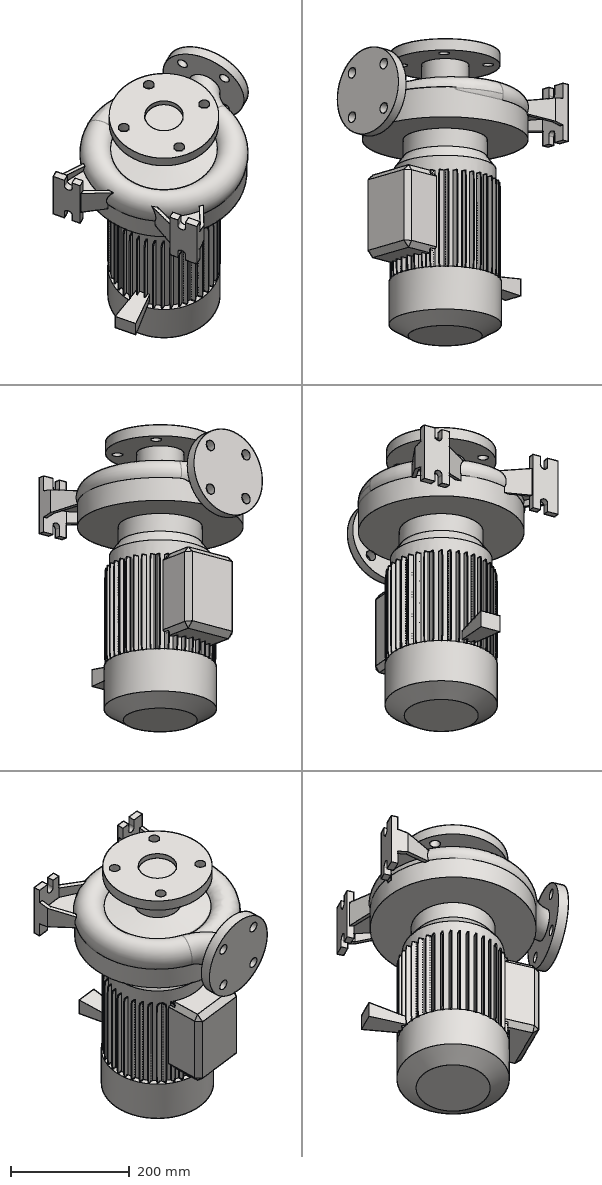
import cadquery as cq
import math


overall_height = 495.0

suction_face_z = 100.0
suction_flange_diameter = 185.0
suction_flange_thickness = 20.0
suction_bolt_circle = 145.0
suction_neck_diameter = 80.0
suction_bore_diameter = 65.0
suction_bore_depth = 10.0

discharge_face_y = 180.0
discharge_flange_diameter = 150.0
discharge_flange_thickness = 18.0
discharge_bolt_circle = 110.0

flange_hole_diameter = 18.0
flange_hole_count = 4

tube_radius = 27.5
volute_radius = 114.5
tail_start_angle = 180.0
tail_end_angle = 55.0
tail_end_tube_radius = 20.7
tail_end_radius = 108.9
tail_taper_power = 1.5
tail_section_count = 5

cover_cone_top_z = 20.0
cover_cone_edge_radius = 90.0
cover_cone_edge_z = 12.5
casing_radius = 140.0
casing_top_z = 2.0
casing_bottom_z = -51.0
adapter_radius = 71.0
adapter_bottom_z = -82.5
motor_radius = 86.0
motor_cone_bottom_z = -103.0
fin_top_z = -129.0
fan_cover_top_z = -300.0
fan_cover_radius = 95.0
fan_cover_bottom_z = -375.5
motor_bottom_z = suction_face_z - overall_height
motor_bottom_radius = 62.5

fin_projection = 9.5
fin_root_depth = 6.0
fin_thickness = 2.0
fin_pitch_angle = 9.0
fin_pairs_per_side = 5
fin_spacing_radius = 92.0
fin_end_inset = 1.5
fin_end_length = 15.0

box_face_y = 138.0
box_half_width = 51.5
box_top_z = fin_top_z
box_bottom_z = -274.0
box_bevel_x = 7.5
box_bevel_y = 11.0
box_bevel_z = 10.5

support_end_y = -158.0
support_mid_z = -283.0
support_end_width = 38.0
support_end_height = 30.0
support_side_slope = 0.095
support_root_y = -80.0

foot_bottom_y = -160.0
foot_thickness = 12.0
foot_outer_x = 133.0
foot_width = 50.0
foot_half_height = 50.0
foot_slot_x = 105.0
foot_slot_width = 14.0
foot_slot_depth = 22.0
rib_thickness = 7.0
rib_bend_y = -130.0
outer_rib_angle = 64.0
inner_rib_angle = 30.0
outer_rib_end_y = -80.0
inner_rib_end_y = -112.0
rib_half_height = 25.0
rib_full_height_y = -155.0
rib_side_slope = 0.187
web_thickness = 6.0


def bolt_holes(bolt_circle, depth):
    """Flange holes on the diagonals, drilled from the XY plane down to -depth."""
    return (
        cq.Workplane("XY")
        .polarArray(bolt_circle / 2, 45, 360, flange_hole_count)
        .circle(flange_hole_diameter / 2)
        .extrude(-depth)
    )


def pump_and_motor_body():
    """Everything turned about the pump axis below the suction flange."""
    profile = [
        (0, cover_cone_top_z),
        (suction_neck_diameter / 2, cover_cone_top_z),
        (cover_cone_edge_radius, cover_cone_edge_z),
        (volute_radius, casing_top_z),
        (casing_radius, casing_top_z),
        (casing_radius, casing_bottom_z),
        (adapter_radius, casing_bottom_z),
        (adapter_radius, adapter_bottom_z),
        (motor_radius, motor_cone_bottom_z),
        (motor_radius, fan_cover_top_z),
        (fan_cover_radius, fan_cover_top_z),
        (fan_cover_radius, fan_cover_bottom_z),
        (motor_bottom_radius, motor_bottom_z),
        (0, motor_bottom_z),
    ]
    return cq.Workplane("XZ").polyline(profile).close().revolve(360, (0, 0), (0, 1))


def suction_flange():
    """Flange on top of its neck, with a shallow blind bore."""
    flange = cq.Workplane("XY").circle(suction_flange_diameter / 2).extrude(-suction_flange_thickness)
    neck_length = suction_face_z - cover_cone_edge_z
    neck = cq.Workplane("XY").circle(suction_neck_diameter / 2).extrude(-neck_length)
    bore = cq.Workplane("XY").circle(suction_bore_diameter / 2).extrude(-suction_bore_depth)
    holes = bolt_holes(suction_bolt_circle, suction_flange_thickness)
    return flange.cut(holes).union(neck).cut(bore).translate((0, 0, suction_face_z))


def discharge_flange():
    """Drilled flange whose face points to +Y."""
    flange = cq.Workplane("XY").circle(discharge_flange_diameter / 2).extrude(-discharge_flange_thickness)
    flange = flange.cut(bolt_holes(discharge_bolt_circle, discharge_flange_thickness))
    return flange.rotate((0, 0, 0), (1, 0, 0), -90).translate((0, discharge_face_y, 0))


bend_radius = (discharge_face_y**2 - volute_radius**2) / (2 * volute_radius)
bend_angle = math.degrees(math.atan2(discharge_face_y, bend_radius))


def volute_section_plane(angle, radius):
    """Plane across the tube at the given angle about the pump axis."""
    along = math.radians(angle)
    outward = (math.cos(along), math.sin(along), 0)
    origin = (radius * outward[0], radius * outward[1], 0)
    return cq.Plane(origin=origin, xDir=outward, normal=(outward[1], -outward[0], 0))


def volute():
    """Full-size tube from the tail start round to the bend, the bend, and the shrinking tail."""
    sweep_angle = 360 - tail_start_angle + bend_angle
    ring = (
        cq.Workplane("XZ")
        .center(volute_radius, 0)
        .circle(tube_radius)
        .revolve(sweep_angle, (-volute_radius, 0), (-volute_radius, 1))
        .rotate((0, 0, 0), (0, 0, 1), tail_start_angle)
    )
    bend = (
        cq.Workplane("XZ", origin=(0, discharge_face_y, 0))
        .circle(tube_radius)
        .revolve(bend_angle, (bend_radius, 0), (bend_radius, 1))
    )
    sections = []
    for index in range(tail_section_count):
        share = index / (tail_section_count - 1)
        angle = tail_start_angle + share * (tail_end_angle - tail_start_angle)
        taper = share**tail_taper_power
        tail_tube_radius = tube_radius + taper * (tail_end_tube_radius - tube_radius)
        centre_radius = volute_radius + taper * (tail_end_radius - volute_radius)
        plane = volute_section_plane(angle, centre_radius)
        sections.append(cq.Wire.makeCircle(tail_tube_radius, plane.origin, plane.zDir))
    tail = cq.Workplane(cq.Solid.makeLoft(sections))
    return ring.union(bend).union(tail)


def cooling_fin(offset):
    """Fin in the XZ plane at Y = offset on the +X side; its tip curves inward at both ends."""
    wall_x = math.sqrt(motor_radius**2 - offset**2)
    root_x = wall_x - fin_root_depth
    tip_x = wall_x + fin_projection
    end_x = tip_x - fin_end_inset
    arc_radius = (fin_end_length**2 + fin_end_inset**2) / (2 * fin_end_inset)
    half_length = fin_end_length / 2
    middle_x = tip_x - arc_radius + math.sqrt(arc_radius**2 - half_length**2)
    lower_z = fan_cover_top_z + fin_end_length
    upper_z = fin_top_z - fin_end_length
    return (
        cq.Workplane("XZ", origin=(0, offset, 0))
        .moveTo(root_x, fan_cover_top_z)
        .lineTo(end_x, fan_cover_top_z)
        .threePointArc((middle_x, lower_z - half_length), (tip_x, lower_z))
        .lineTo(tip_x, upper_z)
        .threePointArc((middle_x, upper_z + half_length), (end_x, fin_top_z))
        .lineTo(root_x, fin_top_z)
        .close()
        .extrude(fin_thickness / 2, both=True)
    )


def cooling_fins():
    """Fins parallel to X on the two X sides and parallel to Y on the two Y sides."""
    fins = cq.Workplane("XY")
    for index in range(fin_pairs_per_side):
        angle = math.radians((index + 0.5) * fin_pitch_angle)
        offset = fin_spacing_radius * math.sin(angle)
        for fin in (cooling_fin(offset), cooling_fin(-offset)):
            for turn in (0, 90, 180, 270):
                fins = fins.add(fin.rotate((0, 0, 0), (0, 0, 1), turn))
    return fins.combine()


def terminal_box():
    """Box on the +Y side of the motor, bevelled round its +Y face and along its top and bottom."""
    shoulder_x = box_half_width - box_bevel_x
    shoulder_y = box_face_y - box_bevel_y
    upper_shoulder_z = box_top_z - box_bevel_z
    lower_shoulder_z = box_bottom_z + box_bevel_z
    plan = [
        (-box_half_width, 0),
        (-box_half_width, shoulder_y),
        (-shoulder_x, box_face_y),
        (shoulder_x, box_face_y),
        (box_half_width, shoulder_y),
        (box_half_width, 0),
    ]
    front_outline = [
        (-box_half_width, lower_shoulder_z),
        (-box_half_width, upper_shoulder_z),
        (-shoulder_x, box_top_z),
        (shoulder_x, box_top_z),
        (box_half_width, upper_shoulder_z),
        (box_half_width, lower_shoulder_z),
        (shoulder_x, box_bottom_z),
        (-shoulder_x, box_bottom_z),
    ]
    side_outline = [
        (0, box_bottom_z),
        (0, box_top_z),
        (shoulder_y, box_top_z),
        (box_face_y, upper_shoulder_z),
        (box_face_y, lower_shoulder_z),
        (shoulder_y, box_bottom_z),
    ]
    box = cq.Workplane("XY").polyline(plan).close().extrude(motor_bottom_z)
    front_prism = cq.Workplane("XZ").polyline(front_outline).close().extrude(-box_face_y)
    side_prism = cq.Workplane("YZ").polyline(side_outline).close().extrude(box_half_width, both=True)
    box = box.intersect(front_prism).intersect(side_prism)
    cutter_size = 4 * box_bevel_y
    corners = [
        (1, upper_shoulder_z, 1),
        (1, lower_shoulder_z, -1),
        (-1, upper_shoulder_z, 1),
        (-1, lower_shoulder_z, -1),
    ]
    for side, shoulder_z, normal_z in corners:
        corner_plane = cq.Plane(
            origin=(side * box_half_width, shoulder_y, shoulder_z),
            xDir=(side * box_bevel_x, -box_bevel_y, 0),
            normal=(side / box_bevel_x, 1 / box_bevel_y, normal_z / box_bevel_z),
        )
        box = box.cut(cq.Workplane(corner_plane).rect(cutter_size, cutter_size).extrude(cutter_size))
    return box


def motor_support():
    """Flared block, wider and taller towards its free end."""
    length = support_root_y - support_end_y
    shrink = 2 * support_side_slope * length
    return (
        cq.Workplane("XZ", origin=(0, support_end_y, support_mid_z))
        .rect(support_end_width, support_end_height)
        .workplane(offset=-length)
        .rect(support_end_width - shrink, support_end_height - shrink)
        .loft()
    )


def foot_slot(sign):
    """Open-ended slot in the upper (sign 1) or lower (sign -1) edge of the foot plate."""
    radius = foot_slot_width / 2
    edge_z = sign * foot_half_height
    arc_z = sign * (foot_half_height - foot_slot_depth + radius)
    tip_z = sign * (foot_half_height - foot_slot_depth)
    return (
        cq.Workplane("XZ", origin=(0, foot_bottom_y, 0))
        .moveTo(foot_slot_x - radius, edge_z)
        .lineTo(foot_slot_x - radius, arc_z)
        .threePointArc((foot_slot_x, tip_z), (foot_slot_x + radius, arc_z))
        .lineTo(foot_slot_x + radius, edge_z)
        .close()
        .extrude(-foot_thickness)
    )


def foot():
    """Foot on the +X side: slotted plate, two tapered ribs and the web between them."""
    plate_y = foot_bottom_y + foot_thickness
    inner_x = foot_outer_x - foot_width
    plate = cq.Workplane("XY").box(foot_width, foot_thickness, 2 * foot_half_height, centered=False)
    plate = plate.translate((inner_x, foot_bottom_y, -foot_half_height))
    plate = plate.cut(foot_slot(1)).cut(foot_slot(-1))

    outer_run = (outer_rib_end_y - rib_bend_y) / math.tan(math.radians(outer_rib_angle))
    outer_end_x = foot_outer_x - outer_run
    outer_slant = rib_thickness / math.sin(math.radians(outer_rib_angle))
    outer_rib = [
        (foot_outer_x, plate_y),
        (foot_outer_x, rib_bend_y),
        (outer_end_x, outer_rib_end_y),
        (outer_end_x - outer_slant, outer_rib_end_y),
        (foot_outer_x - rib_thickness, rib_bend_y),
        (foot_outer_x - rib_thickness, plate_y),
    ]
    inner_slant = rib_thickness / math.cos(math.radians(inner_rib_angle))
    inner_run = (inner_rib_end_y - plate_y) / math.tan(math.radians(inner_rib_angle))
    inner_end_x = inner_x - inner_run
    inner_rib = [
        (inner_x, plate_y),
        (inner_x, plate_y - inner_slant),
        (inner_end_x, inner_rib_end_y - inner_slant),
        (inner_end_x, inner_rib_end_y),
    ]
    web = [
        (inner_x, plate_y),
        (foot_outer_x - rib_thickness, plate_y),
        (foot_outer_x - rib_thickness, rib_bend_y),
        (outer_end_x - outer_slant, outer_rib_end_y),
        (inner_end_x, inner_rib_end_y),
    ]
    root_half_height = rib_half_height - rib_side_slope * (outer_rib_end_y - rib_full_height_y)
    plate_half_height = rib_half_height + rib_side_slope * (rib_full_height_y - foot_bottom_y)
    side_profile = [
        (foot_bottom_y, -plate_half_height),
        (outer_rib_end_y, -root_half_height),
        (outer_rib_end_y, root_half_height),
        (foot_bottom_y, plate_half_height),
    ]
    ribs = cq.Workplane("XY")
    for outline in (outer_rib, inner_rib):
        ribs = ribs.add(cq.Workplane("XY").polyline(outline).close().extrude(foot_half_height, both=True))
    taper = cq.Workplane("YZ").polyline(side_profile).close().extrude(2 * foot_outer_x, both=True)
    ribs = ribs.combine().intersect(taper)
    web_plate = cq.Workplane("XY").polyline(web).close().extrude(web_thickness / 2, both=True)
    return plate.union(ribs).union(web_plate)


result = pump_and_motor_body()
result = result.union(suction_flange()).union(volute()).union(discharge_flange())
result = result.union(cooling_fins()).union(terminal_box()).union(motor_support())
right_foot = foot()
result = result.union(right_foot).union(right_foot.mirror("YZ"))